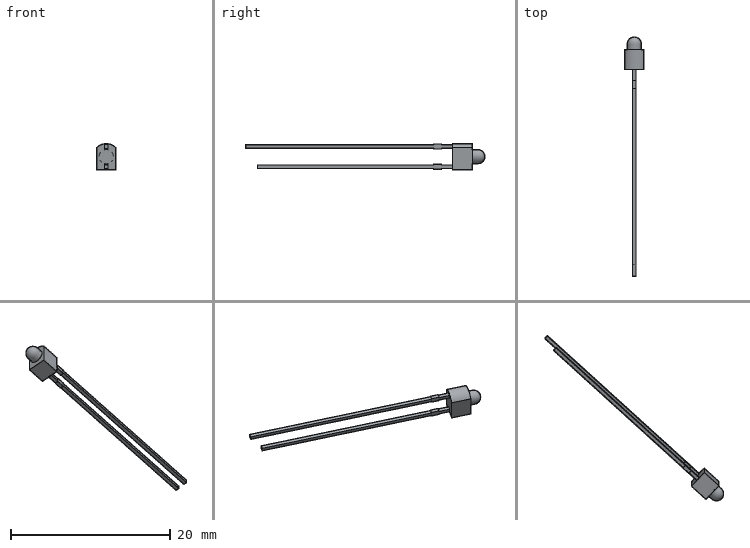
import cadquery as cq
import math


body_width = 2.4
body_length = 2.5
body_height = 3.3
axis_height = body_height / 2
roof_radius = body_height - axis_height

lens_radius = 0.9
lens_cylinder_length = 0.7

lead_pitch = 2.54
lead_thickness = 0.46
long_lead_length = 26.0
short_lead_length = 24.5
standoff_height = 0.65
standoff_start = 1.36
standoff_length = 1.0


def make_body():
    half_width = body_width / 2
    wall_height = axis_height + math.sqrt(roof_radius**2 - half_width**2)
    return (
        cq.Workplane("XZ")
        .moveTo(-half_width, 0)
        .lineTo(half_width, 0)
        .lineTo(half_width, wall_height)
        .threePointArc((0, body_height), (-half_width, wall_height))
        .close()
        .extrude(-body_length)
    )


def make_lens():
    cylinder_end = body_length + lens_cylinder_length
    tip = cylinder_end + lens_radius
    arc_offset = lens_radius * math.sqrt(0.5)
    return (
        cq.Workplane("XY")
        .workplane(offset=axis_height)
        .moveTo(0, body_length)
        .lineTo(lens_radius, body_length)
        .lineTo(lens_radius, cylinder_end)
        .threePointArc((arc_offset, cylinder_end + arc_offset), (0, tip))
        .close()
        .revolve(360, (0, 0, 0), (0, 1, 0))
    )


def make_lead(center_height, length):
    wire = (
        cq.Workplane("XZ")
        .center(0, center_height)
        .rect(lead_thickness, lead_thickness)
        .extrude(length)
    )
    standoff = (
        cq.Workplane("XZ", origin=(0, -standoff_start, center_height))
        .rect(lead_thickness, standoff_height)
        .extrude(standoff_length)
    )
    return wire.union(standoff)


upper_lead = make_lead(axis_height + lead_pitch / 2, long_lead_length)
lower_lead = make_lead(axis_height - lead_pitch / 2, short_lead_length)
result = make_body().union(make_lens()).union(upper_lead).union(lower_lead)